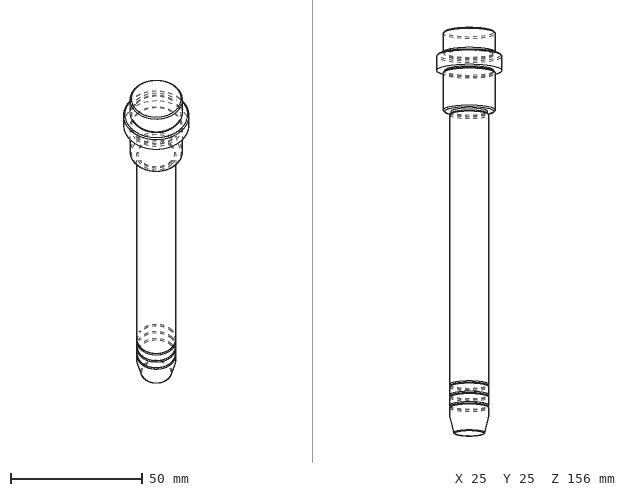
import cadquery as cq

total_length = 156.0
edge_chamfer = 0.55

head_diameter = 20.0
flange_diameter = 25.0
flange_top = total_length - 8.9
flange_bottom = total_length - 15.0
collar_bottom = total_length - 30.9

relief_diameter = 18.7
head_relief_height = 0.5
collar_relief_height = 0.5
shaft_relief_diameter = 14.0
shaft_relief_height = 0.8

shaft_diameter = 15.0
tip_diameter = 11.7
tip_chamfer = 0.3
taper_height = 6.9
groove_count = 3
groove_pitch = 4.0
first_groove_height = 10.5
groove_width = 1.0
groove_depth = 0.3


def cylinder(diameter, bottom, top):
    """Solid cylinder on the Z axis between two heights."""
    return cq.Workplane("XY").workplane(offset=bottom).circle(diameter / 2).extrude(top - bottom)


def make_shaft():
    tip = (
        cq.Workplane("XY")
        .circle(tip_diameter / 2)
        .workplane(offset=taper_height)
        .circle(shaft_diameter / 2)
        .loft()
        .faces("<Z")
        .chamfer(tip_chamfer)
    )
    relief_bottom = collar_bottom - shaft_relief_height
    barrel = cylinder(shaft_diameter, taper_height, relief_bottom).faces(">Z").chamfer(edge_chamfer)
    neck = cylinder(shaft_relief_diameter, relief_bottom, collar_bottom)
    return tip.union(barrel).union(neck)


def make_head():
    head_bottom = flange_top + head_relief_height
    collar_top = flange_bottom - collar_relief_height
    head = cylinder(head_diameter, head_bottom, total_length).faces("<Z or >Z").chamfer(edge_chamfer)
    flange = cylinder(flange_diameter, flange_bottom, flange_top).faces(">Z").chamfer(edge_chamfer)
    collar = cylinder(head_diameter, collar_bottom, collar_top).faces("<Z or >Z").chamfer(edge_chamfer)
    core = cylinder(relief_diameter, collar_top, head_bottom)
    return core.union(head).union(flange).union(collar)


def make_ring_groove(center_height):
    """V-shaped ring to cut from the shaft surface."""
    radius = shaft_diameter / 2
    half_width = groove_width / 2
    return (
        cq.Workplane("XZ")
        .moveTo(radius, center_height - half_width)
        .lineTo(radius - groove_depth, center_height)
        .lineTo(radius, center_height + half_width)
        .close()
        .revolve(360, (0, 0, 0), (0, 1, 0))
    )


result = make_shaft().union(make_head())
for index in range(groove_count):
    result = result.cut(make_ring_groove(first_groove_height + index * groove_pitch))